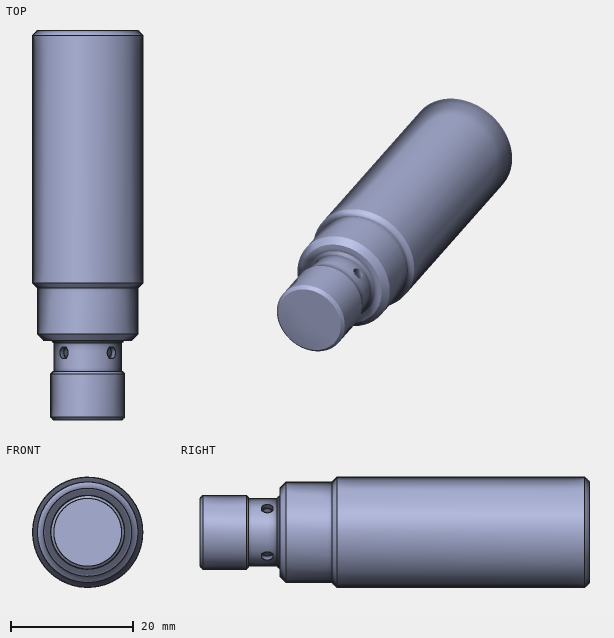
import cadquery as cq

barrel_diameter = 18.0
barrel_radius = barrel_diameter / 2
collar_radius = 8.2
neck_radius = 5.5
cap_radius = 6.05

total_length = 63.5
cap_length = 7.95
collar_start = 13.0
collar_end = 21.5

barrel_chamfer = barrel_radius - collar_radius
collar_chamfer = 1.0
cap_chamfer = 0.5
cap_back_chamfer = 0.4
neck_flare = 0.45

hole_diameter = 1.9
hole_depth = 1.0
hole_station = 11.0
hole_count = 4
first_hole_angle = 45.0

front_y = -total_length / 2


def turned_body():
    """Revolve the stepped half outline about the Y axis."""
    outline = [
        (0, 0),
        (cap_radius - cap_chamfer, 0),
        (cap_radius, cap_chamfer),
        (cap_radius, cap_length - cap_back_chamfer),
        (cap_radius - cap_back_chamfer, cap_length),
        (neck_radius, cap_length),
        (neck_radius, collar_start - neck_flare),
        (neck_radius + neck_flare, collar_start),
        (collar_radius - collar_chamfer, collar_start),
        (collar_radius, collar_start + collar_chamfer),
        (collar_radius, collar_end),
        (barrel_radius, collar_end + barrel_chamfer),
        (barrel_radius, total_length - barrel_chamfer),
        (barrel_radius - barrel_chamfer, total_length),
        (0, total_length),
    ]
    half_section = cq.Workplane("XY").polyline(outline).close()
    return half_section.revolve(360, (0, 0, 0), (0, 1, 0)).translate((0, front_y, 0))


def neck_hole(angle):
    """Cutter for one flat-bottomed hole, turned about the Y axis from +Z."""
    cutter = (
        cq.Workplane("XY", origin=(0, front_y + hole_station, neck_radius - hole_depth))
        .circle(hole_diameter / 2)
        .extrude(2 * hole_depth)
    )
    return cutter.rotate((0, 0, 0), (0, 1, 0), angle)


result = turned_body()
for index in range(hole_count):
    result = result.cut(neck_hole(first_hole_angle + index * 360 / hole_count))